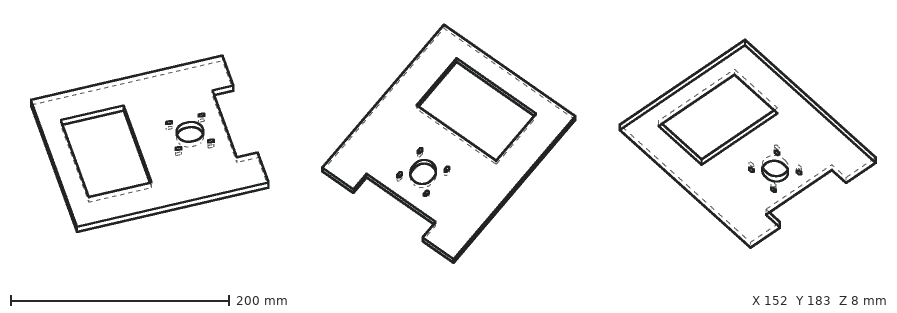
import cadquery as cq

plate_width = 152.0
plate_length = 183.0
plate_thickness = 8.0

notch_width = 80.0
notch_depth = 20.0
window_width = 92.0
window_length = 60.0
window_front_margin = 20.0

motor_y = 38.5
opening_width = 22.0
slot_width = 3.0
adjustment_travel = 3.0
slot_spacing = 31.0

opening_length = opening_width + adjustment_travel
slot_length = slot_width + adjustment_travel


def rectangle_cutter(width, length, center_y):
    """Rectangular block through the full plate thickness, centred on X = 0."""
    return cq.Workplane("XY").center(0, center_y).rect(width, length).extrude(plate_thickness)


def slot_cutter(length, width, centers):
    """Round-ended slots along Y, through the full plate thickness."""
    return cq.Workplane("XY").pushPoints(centers).slot2D(length, width, 90).extrude(plate_thickness)


plate = rectangle_cutter(plate_width, plate_length, 0)
notch = rectangle_cutter(notch_width, notch_depth, (plate_length - notch_depth) / 2)
window_y = -plate_length / 2 + window_front_margin + window_length / 2
window = rectangle_cutter(window_width, window_length, window_y)

motor_opening = slot_cutter(opening_length, opening_width, [(0, motor_y)])
slot_centers = [
    (side_x * slot_spacing / 2, motor_y + side_y * slot_spacing / 2)
    for side_x in (-1, 1)
    for side_y in (-1, 1)
]
adjustment_slots = slot_cutter(slot_length, slot_width, slot_centers)

result = plate.cut(notch).cut(window).cut(motor_opening).cut(adjustment_slots)